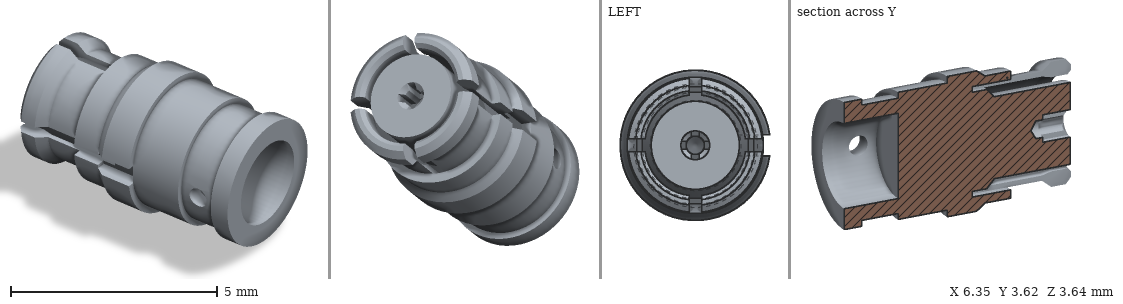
import cadquery as cq
import math

length = 6.35
core_face_x = 0.11
front_chamfer_x = 0.145
rim_end_x = 0.55
neck_start_x = 0.805
sleeve_start_x = 1.75
core_cone_start_x = 2.205
bore_end_x = 2.41
flange_cone_x = 2.465
flange_start_x = 2.7
finger_slot_end_x = 2.805
flange_end_x = 3.51
groove_start_x = 4.865
groove_end_x = 5.85

front_radius = 1.455
rim_radius = 1.625
neck_radius = 1.42
body_radius = 1.65
flange_radius = 1.82
groove_radius = 1.5

mouth_radius = 1.33
lip_radius = 1.225
bore_radius = 1.29
mouth_chamfer_length = 0.1
core_radius = 1.065

finger_slot_width = 0.305
key_notch_width = 0.51

socket_mouth_radius = 0.35
socket_radius = 0.22
socket_lead_in = 0.13
socket_depth = 0.95
socket_tip_angle = 118.0
socket_slot_width = 0.205
socket_slot_depth = 0.76

cable_bore_radius = 1.1
side_hole_radius = 0.255
side_hole_x = (groove_start_x + groove_end_x) / 2


def revolve_about_axis(points):
    """Revolve a closed outline of (x, radius) points about the X axis."""
    return cq.Workplane("XZ").polyline(points).close().revolve(360, (0, 0, 0), (1, 0, 0))


def ring(start_x, end_x, inner_radius, outer_radius):
    """Tube along X between two stations."""
    outline = cq.Workplane("YZ", origin=(start_x, 0, 0)).circle(outer_radius).circle(inner_radius)
    return outline.extrude(end_x - start_x)


def radial_bar(start_x, end_x, width, reach):
    """Bar running from the axis out to -Y, used to cut one slot."""
    bar = cq.Workplane("XY").box(end_x - start_x, reach, width, centered=False)
    return bar.translate((start_x, -reach, -width / 2))


def four_around_axis(bar):
    """Four copies of a bar, a quarter turn apart about the X axis."""
    bars = bar
    for quarter in range(1, 4):
        bars = bars.union(bar.rotate((0, 0, 0), (1, 0, 0), 90 * quarter))
    return bars


def outer_body():
    """Solid turned profile: finger rim, neck, sleeve, flange, body and rear groove."""
    return revolve_about_axis([
        (0, 0),
        (0, front_radius),
        (front_chamfer_x, rim_radius),
        (rim_end_x, rim_radius),
        (neck_start_x, neck_radius),
        (sleeve_start_x, neck_radius),
        (sleeve_start_x, body_radius),
        (flange_cone_x, body_radius),
        (flange_start_x, flange_radius),
        (flange_end_x, flange_radius),
        (flange_end_x, body_radius),
        (groove_start_x, body_radius),
        (groove_start_x, groove_radius),
        (groove_end_x, groove_radius),
        (groove_end_x, body_radius),
        (length, body_radius),
        (length, 0),
    ])


def mating_cavity():
    """Space in front of the core and between the core and the fingers."""
    return revolve_about_axis([
        (0, 0),
        (0, mouth_radius),
        (mouth_chamfer_length, lip_radius),
        (rim_end_x, lip_radius),
        (neck_start_x, bore_radius),
        (bore_end_x, bore_radius),
        (core_cone_start_x, core_radius),
        (core_face_x, core_radius),
        (core_face_x, 0),
    ])


def finger_slots():
    """Four slots through the finger tube and its rim, running on under the sleeve."""
    bars = four_around_axis(radial_bar(0, finger_slot_end_x, finger_slot_width, body_radius))
    finger_wall = ring(0, finger_slot_end_x, bore_radius, neck_radius)
    lip_and_rim = ring(0, neck_start_x, core_radius, rim_radius)
    return bars.intersect(finger_wall.union(lip_and_rim))


def key_slot():
    """Slot through the sleeve on -Y that widens into a notch through the flange."""
    narrow = radial_bar(sleeve_start_x, flange_cone_x, finger_slot_width, flange_radius)
    wide = radial_bar(flange_cone_x, flange_end_x, key_notch_width, flange_radius)
    sleeve_wall = ring(sleeve_start_x, flange_end_x, neck_radius, flange_radius)
    return narrow.union(wide).intersect(sleeve_wall)


def contact_socket():
    """Pin socket with a conical lead-in, a drilled end and four slots."""
    tip_length = socket_radius / math.tan(math.radians(socket_tip_angle / 2))
    hole = revolve_about_axis([
        (core_face_x, 0),
        (core_face_x, socket_mouth_radius),
        (core_face_x + socket_lead_in, socket_radius),
        (core_face_x + socket_depth, socket_radius),
        (core_face_x + socket_depth + tip_length, 0),
    ])
    slot_end_x = core_face_x + socket_slot_depth
    slots = four_around_axis(radial_bar(core_face_x, slot_end_x, socket_slot_width, socket_mouth_radius))
    slot_limit = cq.Workplane("YZ", origin=(core_face_x, 0, 0)).circle(socket_mouth_radius)
    slot_limit = slot_limit.extrude(socket_slot_depth)
    return hole.union(slots.intersect(slot_limit))


def cable_entry():
    """Cable bore from the rear end, with a hole into it from the groove on -Y."""
    bore = cq.Workplane("YZ", origin=(groove_start_x, 0, 0)).circle(cable_bore_radius)
    bore = bore.extrude(length - groove_start_x)
    side_hole = cq.Workplane("XZ", origin=(side_hole_x, 0, 0)).circle(side_hole_radius)
    return bore.union(side_hole.extrude(body_radius))


result = outer_body().cut(mating_cavity())
result = result.cut(finger_slots())
result = result.cut(key_slot())
result = result.cut(contact_socket())
result = result.cut(cable_entry())